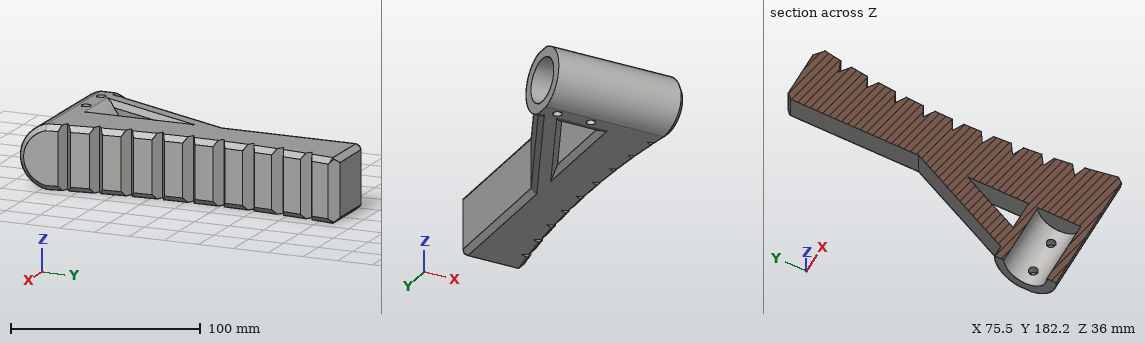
import cadquery as cq
import math

thickness = 36.0
half_thickness = thickness / 2
edge_chamfer = 3.0
bevel_angle = 45.0

tube_diameter = 37.0
bore_diameter = 25.5
bore_depth = 38.0
pin_hole_diameter = 5.0
pin_hole_positions = (9.0, 29.0)

grip_back_x = 38.0
grip_top_y = 163.7

strut_angle = math.radians(25.4)
strut_top_y = 84.0
strut_width = 12.7

front_radius = 500.0
front_middle_x = 67.11
front_middle_y = 75.9
front_center_x = front_middle_x + front_radius

notch_pitch_angle = 2.0
lowest_notch = -4
highest_notch = 5
notch_depth = 6.3
notch_width = 7.0
notch_overrun = 2.0

blank_overrun = 40.0
blank_end_x = front_middle_x + blank_overrun


def back_x_of_line(top_y):
    """X where a line parallel to the strut, leaving the grip's back at top_y, meets Y = 0."""
    return grip_back_x - top_y * math.tan(strut_angle)


def prism(points, bottom_z, height, taper=0):
    """Extrude a closed outline upward, its sides drawn inward by the taper angle."""
    return (
        cq.Workplane("XY", origin=(0, 0, bottom_z))
        .polyline(points).close()
        .extrude(height, taper=taper)
    )


def make_plate_blank():
    """Grip and strut filled in as one plate, its rims chamfered on both faces."""
    outline = [
        (back_x_of_line(strut_top_y), 0),
        (grip_back_x, strut_top_y),
        (grip_back_x, grip_top_y),
        (blank_end_x, grip_top_y),
        (blank_end_x, 0),
    ]
    rim_z = half_thickness - edge_chamfer
    rim = prism(outline, rim_z, edge_chamfer, bevel_angle)
    return prism(outline, -rim_z, 2 * rim_z).union(rim).union(rim.mirror("XY"))


def make_window():
    """Cutter for the triangle between strut and grip, flared at both faces."""
    throat_top_y = strut_top_y - strut_width / math.sin(strut_angle)
    throat = [
        (back_x_of_line(throat_top_y), 0),
        (grip_back_x, throat_top_y),
        (grip_back_x, 0),
    ]
    mouth_back_x = back_x_of_line(throat_top_y) - edge_chamfer / math.cos(strut_angle)
    mouth_front_x = grip_back_x + edge_chamfer
    mouth = [
        (mouth_back_x, 0),
        (mouth_front_x, (mouth_front_x - mouth_back_x) / math.tan(strut_angle)),
        (mouth_front_x, 0),
    ]
    flare = prism(mouth, -half_thickness, edge_chamfer, bevel_angle)
    return prism(throat, -half_thickness, thickness).union(flare).union(flare.mirror("XY"))


def make_corner_trim():
    """Cutter for the chamfer on the grip's top back corner."""
    corner = [
        (grip_back_x, grip_top_y),
        (grip_back_x, grip_top_y - edge_chamfer),
        (grip_back_x + edge_chamfer, grip_top_y),
    ]
    return prism(corner, -half_thickness, thickness)


def make_tube():
    """Solid tube blank with flats level with the plate's two faces."""
    flats = cq.Workplane("XY").box(blank_end_x, tube_diameter, thickness, centered=(False, True, True))
    return cq.Workplane("YZ").circle(tube_diameter / 2).extrude(blank_end_x).intersect(flats)


def shape_front(body):
    """Hollow the front to its arc and chamfer the rim of the curved face."""
    hollow = (
        cq.Workplane("XY", origin=(front_center_x, front_middle_y, -half_thickness))
        .circle(front_radius)
        .extrude(thickness)
    )
    body = body.cut(hollow)
    front_face = body.faces(cq.selectors.NearestToPointSelector((front_middle_x, front_middle_y, 0)))
    return front_face.edges().chamfer(edge_chamfer)


def make_notch(index):
    """Cutter for one V notch, its flanks carried on past the front face."""
    mouth_x = -front_radius + notch_overrun
    half_mouth = notch_width / 2 * (notch_depth + notch_overrun) / notch_depth
    outline = [
        (-front_radius - notch_depth, 0),
        (mouth_x, half_mouth),
        (mouth_x, -half_mouth),
    ]
    return (
        prism(outline, -half_thickness, thickness)
        .rotate((0, 0, 0), (0, 0, 1), -index * notch_pitch_angle)
        .translate((front_center_x, front_middle_y, 0))
    )


def make_bore():
    """Blind bore from the open end of the tube."""
    return cq.Workplane("YZ").circle(bore_diameter / 2).extrude(bore_depth)


def make_pin_holes():
    """Pin holes straight through both tube walls."""
    return (
        cq.Workplane("XY", origin=(0, 0, -half_thickness))
        .pushPoints([(x, 0) for x in pin_hole_positions])
        .circle(pin_hole_diameter / 2)
        .extrude(thickness)
    )


def make_strut_tip_trim():
    """Cutter for the strut's tip where it would pass the tube's open end."""
    block = cq.Workplane("XY").box(tube_diameter, tube_diameter, thickness)
    return block.translate((-tube_diameter / 2, 0, 0))


plate = make_plate_blank().cut(make_window()).cut(make_corner_trim()).cut(make_strut_tip_trim())
body = shape_front(plate.union(make_tube()))
for notch_index in range(lowest_notch, highest_notch + 1):
    body = body.cut(make_notch(notch_index))
result = body.cut(make_bore()).cut(make_pin_holes())